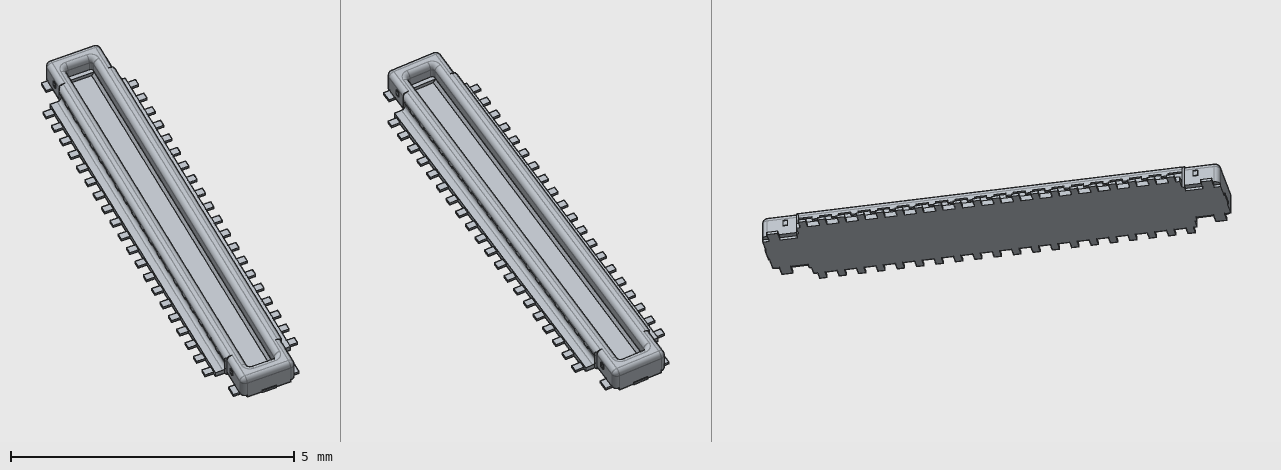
import cadquery as cq

total_length = 8.3
total_width = 1.8
total_height = 0.47

body_length = 8.27
block_width = 1.045
edge_round = 0.1
block_inner_x = 3.5

foot_thickness = 0.05
plinth_width = block_width - 2 * edge_round
side_foot_x = 3.92
side_foot_length = 0.2
side_foot_span = 1.28
end_foot_width = 0.28

middle_half_length = 3.46
lip_half_width = 0.56
lip_underside = 0.32
wall_half_width = 0.515
flange_half_width = 0.73
flange_height = 0.1
flange_round = 0.075

pin_count = 20
pin_row_length = 6.65
pitch = pin_row_length / (pin_count - 1)
pin_width = 0.13
lug_width = 0.13
lug_bottom = 0.27

mouth_length = 7.885
mouth_width = 0.75
mouth_round = 0.11
mouth_corner = 0.17
rim_margin = 0.01
pocket_floor = 0.18
trough_length = 7.5
trough_floor = 0.11
trough_floor_width = 0.43
trough_top_width = 0.52

pip_x = 3.7
pip_width = 0.08
pip_bottom = 0.22
pip_height = 0.11
pip_reach = 0.02

lip_edge = total_height - edge_round


def box(length, width, z_bottom, z_top, x=0, y=0):
    """Upright box centred on (x, y) between two heights."""
    base = cq.Workplane("XY", origin=(x, y, z_bottom))
    return base.rect(length, width).extrude(z_top - z_bottom)


def make_end_blocks():
    """Rounded bar on a narrower plinth, kept only at its two ends."""
    bar = box(body_length, block_width, foot_thickness, total_height)
    bar = bar.edges("|Z").fillet(edge_round).faces(">Z").edges().fillet(edge_round)
    plinth = box(body_length, plinth_width, 0, foot_thickness)
    gap = box(2 * block_inner_x, total_width, 0, total_height)
    return bar.union(plinth).cut(gap)


def extrude_along_x(half_profile, half_length):
    """Extrude a profile drawn at Y >= 0 along X and mirror it to the other side."""
    half = half_profile.close().extrude(2 * half_length).translate((-half_length, 0, 0))
    return half.union(half.mirror("XZ"))


def make_lip():
    """Lip along the top of the wall, bevelled in plan where it meets the end blocks."""
    profile = (
        cq.Workplane("YZ")
        .lineTo(0, total_height)
        .lineTo(lip_half_width - edge_round, total_height)
        .radiusArc((lip_half_width, lip_edge), edge_round)
        .lineTo(lip_half_width, lip_underside)
        .lineTo(wall_half_width, lip_underside)
        .lineTo(wall_half_width, 0)
    )
    return extrude_along_x(profile, block_inner_x).intersect(make_bevelled_plan(total_height))


def make_bevelled_plan(height):
    """Prism as wide as the lip that narrows to the block width at both ends."""
    half_block = block_width / 2
    outline = [
        (block_inner_x, half_block),
        (middle_half_length, lip_half_width),
        (-middle_half_length, lip_half_width),
        (-block_inner_x, half_block),
    ]
    mirrored = [(x, -y) for x, y in reversed(outline)]
    return cq.Workplane("XY").polyline(outline + mirrored).close().extrude(height)


def make_flange():
    """Flange along the foot of the wall with a concave round between them."""
    round_end = wall_half_width + flange_round
    profile = (
        cq.Workplane("YZ")
        .lineTo(0, flange_height + flange_round)
        .lineTo(wall_half_width, flange_height + flange_round)
        .radiusArc((round_end, flange_height), -flange_round)
        .lineTo(flange_half_width, flange_height)
        .lineTo(flange_half_width, 0)
    )
    return extrude_along_x(profile, middle_half_length)


def make_transition_posts():
    """Bevelled posts that close the recess under the lip at both ends."""
    opening = box(2 * middle_half_length, total_width, 0, lip_edge)
    return make_bevelled_plan(lip_edge).cut(opening)


def cut_pocket(housing):
    """Sink the well, round its mouth and add the sloped trough in its floor."""
    well_length = mouth_length - 2 * mouth_round
    well_width = mouth_width - 2 * mouth_round
    well = box(well_length, well_width, pocket_floor, total_height)
    well = well.edges("|Z").fillet(mouth_corner - mouth_round)

    rim_zone = cq.selectors.BoxSelector(
        (-mouth_length / 2, -mouth_width / 2, total_height - rim_margin),
        (mouth_length / 2, mouth_width / 2, total_height + rim_margin),
    )
    housing = housing.cut(well).edges(rim_zone).fillet(mouth_round)

    trough_profile = (
        cq.Workplane("YZ")
        .moveTo(0, trough_floor)
        .lineTo(trough_floor_width / 2, trough_floor)
        .lineTo(trough_top_width / 2, pocket_floor)
        .lineTo(0, pocket_floor)
    )
    return housing.cut(extrude_along_x(trough_profile, trough_length / 2))


def make_contacts(side):
    """Pins out of the flange and lugs below the lip, on one side (+1 or -1) of the part."""
    contacts = cq.Workplane("XY")
    for x in spread(pin_count):
        reach = total_width / 2 - wall_half_width
        y = side * (wall_half_width + reach / 2)
        contacts = contacts.union(box(pin_width, reach, 0, foot_thickness, x, y))
    for x in spread(pin_count - 1):
        y = side * lip_half_width / 2
        contacts = contacts.union(box(lug_width, lip_half_width, lug_bottom, lip_edge, x, y))
    return contacts


def make_feet(end):
    """Side feet, end foot and side pips of one end block (+1 or -1)."""
    side_feet = box(side_foot_length, side_foot_span, 0, foot_thickness, end * side_foot_x)
    end_foot_length = total_length / 2 - side_foot_x
    end_foot_x = end * (side_foot_x + end_foot_length / 2)
    end_foot = box(end_foot_length, end_foot_width, 0, foot_thickness, end_foot_x)
    pips = box(pip_width, block_width + 2 * pip_reach, pip_bottom, pip_bottom + pip_height, end * pip_x)
    return side_feet.union(end_foot).union(pips)


def spread(count):
    """X places of a centred row of items at the contact pitch."""
    return [(i - (count - 1) / 2) * pitch for i in range(count)]


housing = make_end_blocks().union(make_lip()).union(make_flange()).union(make_transition_posts())
for sign in (1, -1):
    housing = housing.union(make_contacts(sign)).union(make_feet(sign))

result = cut_pocket(housing)